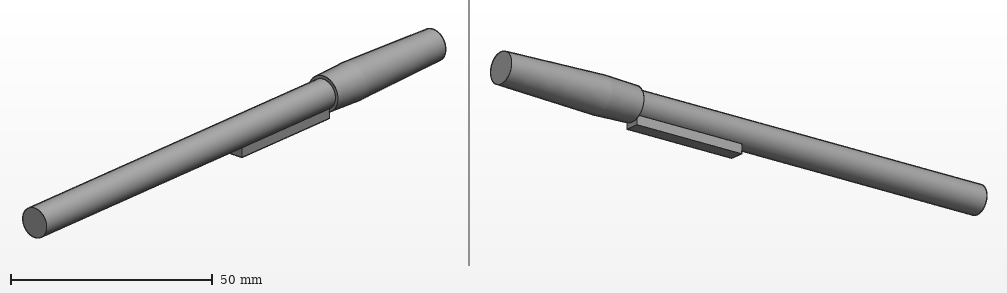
import cadquery as cq

pen_length = 150.0
barrel_diameter = 8.0

cap_length = 41.2
cap_mouth_diameter = 9.6
cap_widest_diameter = 10.4
cap_end_diameter = 8.5
widest_ring_from_end = 30.9

clip_length = 33.0
clip_width = 4.0
overall_height = 11.2

barrel_radius = barrel_diameter / 2
cap_mouth_y = pen_length - cap_length
widest_ring_y = pen_length - widest_ring_from_end
clip_bottom_z = cap_widest_diameter / 2 - overall_height


def make_pen_body():
    """Revolve the barrel and cap about the pen axis."""
    half_profile = (
        cq.Workplane("YZ")
        .moveTo(0, 0)
        .lineTo(0, barrel_radius)
        .lineTo(cap_mouth_y, barrel_radius)
        .lineTo(cap_mouth_y, cap_mouth_diameter / 2)
        .lineTo(widest_ring_y, cap_widest_diameter / 2)
        .lineTo(pen_length, cap_end_diameter / 2)
        .lineTo(pen_length, 0)
        .close()
    )
    return half_profile.revolve(360, (0, 0, 0), (1, 0, 0))


def make_clip():
    """Bar reaching up to the pen axis so that it merges with the barrel."""
    return cq.Workplane("XY").box(
        clip_width, clip_length, -clip_bottom_z, centered=(True, False, False)
    ).translate((0, cap_mouth_y - clip_length, clip_bottom_z))


result = make_pen_body().union(make_clip())